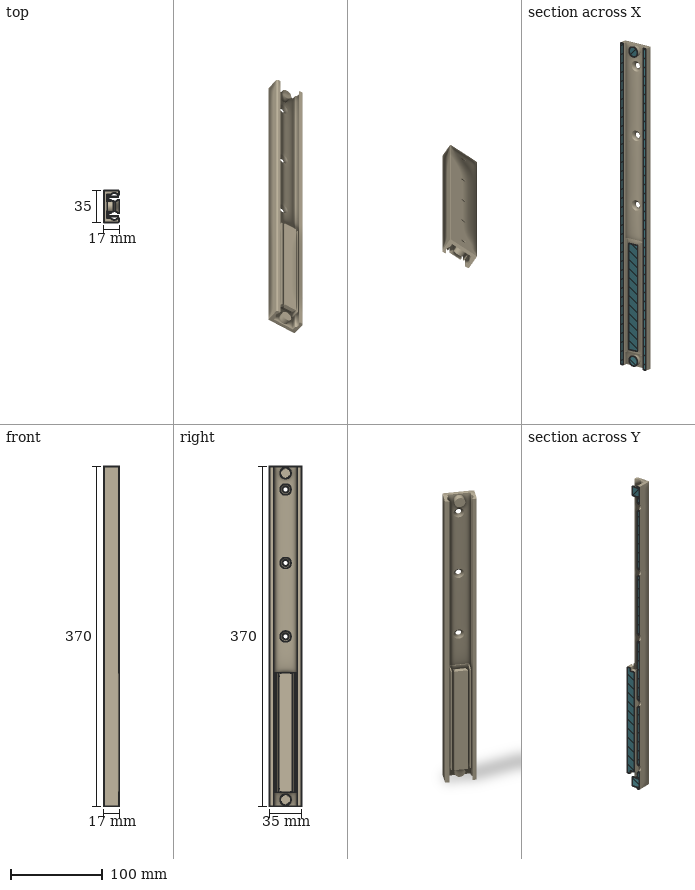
import cadquery as cq


rail_length = 370.0
rail_width = 35.0
rail_height = 16.5
floor_thickness = 3.7
wall_thickness = 4.8
floor_edge_radius = 0.92
lip_edge_radius = 2.0

ball_diameter = 9.2
race_x = 11.5
race_y = 10.0

hole_diameter = 6.3
countersink_diameter = 12.0
hole_count = 5
hole_pitch = 80.0

stop_end_distance = 7.5
stop_pin_diameter = 10.0
stop_head_diameter = 12.0
stop_head_height = 6.5

slider_length = 130.0
slider_bottom = 15.5
slider_half_width = 7.5
slider_outer_x = 17.0
slider_inner_x = 7.0
step_x = 12.5
step_depth = 3.7

cage_half_width = 11.0
cage_thickness = 1.0
cage_inner_x = 4.0
cage_outer_x = 16.0


def block(x_min, x_max, width, z_min, length):
    """Box centred on Y = 0, given by its X range, width, lower end and length."""
    return (
        cq.Workplane("XY", origin=(x_min, 0, z_min))
        .box(x_max - x_min, width, length, centered=(False, True, False))
    )


def floor_cylinder(diameter, x_min, height, z):
    """Cylinder along +X standing at x_min on the rail's centre line."""
    return cq.Workplane("YZ", origin=(x_min, 0, z)).circle(diameter / 2).extrude(height)


def countersink(z):
    """90 degree cone that opens on the inner face of the rail floor."""
    depth = (countersink_diameter - hole_diameter) / 2
    return (
        cq.Workplane("YZ", origin=(floor_thickness, 0, z))
        .circle(countersink_diameter / 2)
        .workplane(offset=-depth)
        .circle(hole_diameter / 2)
        .loft()
    )


def end_stop_heights():
    return [stop_end_distance, rail_length - stop_end_distance]


def ball_races():
    """Two full-length cylinders in which the balls travel."""
    return (
        cq.Workplane("XY")
        .pushPoints([(race_x, race_y), (race_x, -race_y)])
        .circle(ball_diameter / 2)
        .extrude(rail_length)
    )


def make_rail():
    rail = block(0, rail_height, rail_width, 0, rail_length)
    rail = rail.edges("|Z and <X").fillet(floor_edge_radius)
    rail = rail.edges("|Z and >X").fillet(lip_edge_radius)

    channel_width = rail_width - 2 * wall_thickness
    rail = rail.cut(block(floor_thickness, rail_height, channel_width, 0, rail_length))
    rail = rail.cut(ball_races())

    first_hole_z = (rail_length - (hole_count - 1) * hole_pitch) / 2
    for index in range(hole_count):
        hole_z = first_hole_z + index * hole_pitch
        rail = rail.cut(floor_cylinder(hole_diameter, 0, floor_thickness, hole_z))
        rail = rail.cut(countersink(hole_z))
    for stop_z in end_stop_heights():
        rail = rail.cut(floor_cylinder(stop_pin_diameter, 0, floor_thickness, stop_z))
    return rail


def make_end_stop(z):
    pin = floor_cylinder(stop_pin_diameter, 0, floor_thickness, z)
    head = floor_cylinder(stop_head_diameter, floor_thickness, stop_head_height, z)
    return pin.union(head)


def make_slider():
    width = 2 * slider_half_width
    plate = block(step_x, slider_outer_x, width, slider_bottom, slider_length)
    nose = block(
        slider_inner_x, step_x, width, slider_bottom + step_depth, slider_length - 2 * step_depth
    )
    return plate.union(nose).cut(ball_races())


def make_cage():
    outside = block(cage_inner_x, cage_outer_x, 2 * cage_half_width, slider_bottom, slider_length)
    inside_width = 2 * (cage_half_width - cage_thickness)
    inside = block(
        cage_inner_x + cage_thickness, cage_outer_x, inside_width, slider_bottom, slider_length
    )
    return outside.cut(inside)


rail = make_rail()
slider = make_slider()
cage = make_cage()
end_stops = [make_end_stop(z) for z in end_stop_heights()]

result = cq.Compound.makeCompound(
    [rail.val(), slider.val(), cage.val(), *[stop.val() for stop in end_stops]]
)